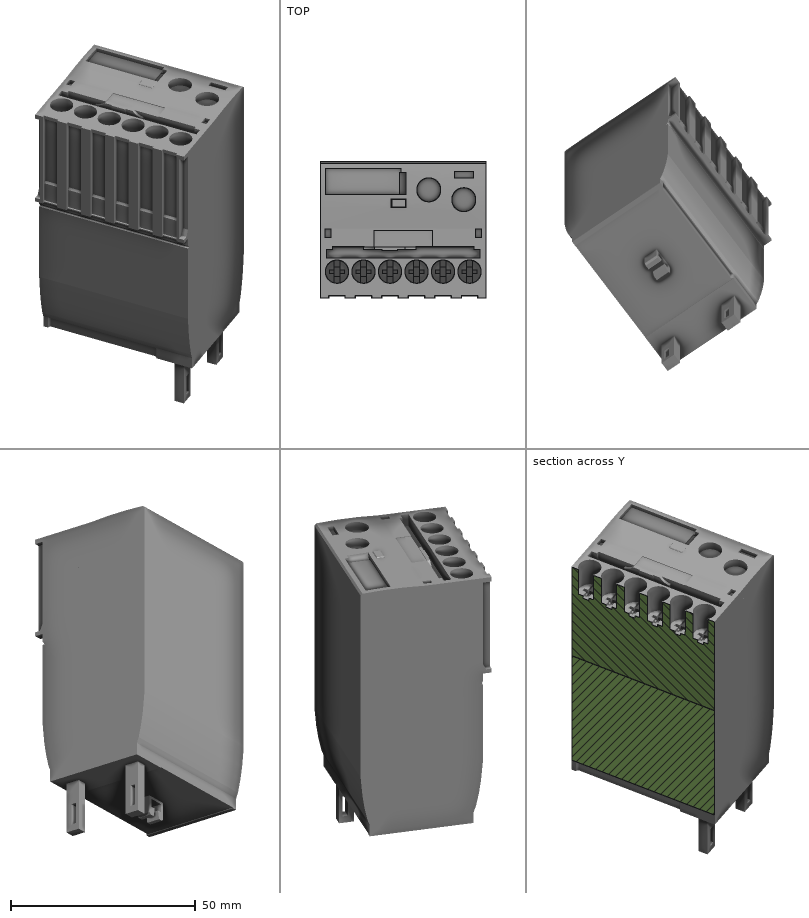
import cadquery as cq
import math

WIDTH = 45.0
DEPTH = 34.6
OVERHANG = 2.5
TOTAL_HEIGHT = 88.85
HALF = WIDTH / 2

BASE_Z = 14.6
FOOT_TOP_Z = 17.95
ARC_LOW_Z = 19.55
ARC_HIGH_Z = 30.7
TAPER_Z = 32.7
FOOT_INSET = 2.6
ARC_LOW_INSET = 1.95
ARC_MID_INSET = 0.8
ARC_HIGH_INSET = 0.2

FOOT_GAP_LEFT = -20.5
FOOT_GAP_RIGHT = 11.1
FOOT_GAP_DEPTH = 0.5
FOOT_GAP_SLOPE = 0.5
UNDERSIDE_STEP = 0.2

SEAM_FRONT_Z = 56.15
SEAM_STEP_Z = 75.9
SEAM_BACK_Z = 84.8
SEAM_LOW_Y = 15.7
SEAM_HIGH_Y = 11.55
SEAM_GROOVE_HEIGHT = 0.9
SEAM_GROOVE_DEPTH = 0.7

TOP_Z = 88.3
CROWN_RISE = 0.31
CROWN_FRONT_Y = 16.35
BACK_CHAMFER = 0.5
CROWN_BACK_Y = DEPTH - BACK_CHAMFER
OVERHANG_Z = 59.4

TERMINALS = 6
TERMINAL_PITCH = 7.2
SCREW_Y = 4.7
SCREW_HOLE_D = 6.3
SCREW_HEAD_DEPTH = 8.9
SCREW_SLOT_WIDTH = 1.7
SCREW_SLOT_DEPTH = 0.9
CROSS_LENGTH_X = 4.0
CROSS_WIDTH_X = 1.0
CROSS_LENGTH_Y = 2.6
CROSS_ARM_DEPTH = 1.4
CROSS_CORE_DEPTH = 2.1

GROOVE_WIDTH = 4.35
NOTCH_DEPTH = 0.6
GROOVE_LOW_DEPTH = 1.1
GROOVE_DEEP_DEPTH = 1.6
GROOVE_LEDGE_Z = 65.5
GROOVE_FLOOR_Z = 59.8
GROOVE_ROOF_Z = 87.25

CORNER_WIDTH = 1.5
CORNER_FLOOR_Z = 60.6
CORNER_ROOF_Z = 87.0
CORNER_SLOPE_Y = 0.9
CORNER_SLOPE_Z = 1.9

SLOT_HALF_LENGTH = 20.9
SLOT_BACK_HALF_LENGTH = 19.2
SLOT_FRONT_Y = 8.4
SLOT_MID_Y = 10.7
SLOT_BACK_Y = 11.5
SLOT_DEPTH = 3.55
TAB_CENTRE_X = -3.6
TAB_HALF_LENGTH = 7.1
TAB_TOP_HALF_LENGTH = 4.2
TAB_DROP = 1.6
TAB_SAG = 0.7
NOSE_HALF_LENGTH = 2.1
NOSE_Y = 10.4

LATCH_X = 20.4
LATCH_WIDTH = 1.5
LATCH_LENGTH = 2.4
LATCH_DEPTH = 1.3
PLATE_LEFT = -7.9
PLATE_RIGHT = 7.9
PLATE_BACK_Y = 15.9
PLATE_DEPTH = 0.2
MARK_LEFT = 13.9
MARK_RIGHT = 19.0
MARK_FRONT_Y = 30.1
MARK_BACK_Y = 31.9
MARK_DEPTH = 1.1
DIAL_D = 6.5
DIAL_DEPTH = 2.2
DIAL_CENTRES = [(6.9, 26.9), (16.4, 24.3)]

LABEL_LEFT = -21.1
LABEL_RIGHT = -0.6
LABEL_FRONT_Y = 25.7
LABEL_BACK_Y = 32.7
LABEL_DEPTH = 1.1
FINGER_RIGHT = 0.8
FINGER_BACK_Y = 31.6
FINGER_DEPTH = 1.6
FINGER_LEFT = -1.1

BUTTON_LEFT = -3.3
BUTTON_RIGHT = 0.8
BUTTON_FRONT_Y = 22.1
BUTTON_BACK_Y = 24.4
BUTTON_CHAMFER = 0.2

PIN_LEFT = 15.8
PIN_WIDTH = 2.8
PIN_DEPTH = 4.2
PIN_FRONT_YS = (5.2, 25.3)
PIN_WINDOW_DEPTH = 1.5
PIN_WINDOW_OFFSET = 1.7
PIN_WINDOW_LOW_Z = 1.95
PIN_WINDOW_HIGH_Z = 8.0

CLIP_X = -4.3
CLIP_HALF_WIDTH = 3.1
CLIP_FRONT_Y = 14.6
CLIP_BACK_Y = 18.6
CLIP_LOW_Z = 9.2
CLIP_CHAMFER = 0.5
CLIP_CAVITY_HALF = 2.1
CLIP_CAVITY_LOW_Z = 11.6
CLIP_CAVITY_HIGH_Z = 14.0
CLIP_THROAT_HALF = 0.7
CLIP_MOUTH_HALF = 1.2


def box(x0, x1, y0, y1, z0, z1):
    """Block between two opposite corners."""
    return cq.Workplane("XY").box(x1 - x0, y1 - y0, z1 - z0, centered=False).translate((x0, y0, z0))


def across_width(profile):
    """Extrude a closed YZ profile, drawn on the left side, over the full width."""
    return profile.close().extrude(WIDTH)


def left_side():
    return cq.Workplane("YZ", origin=(-HALF, 0, 0))


def terminal_xs():
    return [(i - (TERMINALS - 1) / 2) * TERMINAL_PITCH for i in range(TERMINALS)]


def housing_shell():
    arc_mid_z = (ARC_LOW_Z + ARC_HIGH_Z) / 2
    profile = (
        left_side()
        .moveTo(FOOT_INSET, BASE_Z)
        .lineTo(FOOT_INSET, FOOT_TOP_Z)
        .lineTo(ARC_LOW_INSET, ARC_LOW_Z)
        .threePointArc((ARC_MID_INSET, arc_mid_z), (ARC_HIGH_INSET, ARC_HIGH_Z))
        .lineTo(0, TAPER_Z)
        .lineTo(0, SEAM_FRONT_Z)
        .lineTo(SEAM_LOW_Y, SEAM_FRONT_Z)
        .lineTo(SEAM_LOW_Y, SEAM_STEP_Z)
        .lineTo(SEAM_HIGH_Y, SEAM_STEP_Z)
        .lineTo(SEAM_HIGH_Y, SEAM_BACK_Z)
        .lineTo(DEPTH, SEAM_BACK_Z)
        .lineTo(DEPTH, TAPER_Z)
        .lineTo(DEPTH - ARC_HIGH_INSET, ARC_HIGH_Z)
        .threePointArc((DEPTH - ARC_MID_INSET, arc_mid_z), (DEPTH - ARC_LOW_INSET, ARC_LOW_Z))
        .lineTo(DEPTH - FOOT_INSET, FOOT_TOP_Z)
        .lineTo(DEPTH - FOOT_INSET, BASE_Z)
    )
    return across_width(profile)


def foot_gap():
    """Slant-ended recess in the front foot face, and the raised underside behind it."""
    left = FOOT_GAP_LEFT - FOOT_GAP_SLOPE
    right = FOOT_GAP_RIGHT + FOOT_GAP_SLOPE
    floor_y = FOOT_INSET + FOOT_GAP_DEPTH
    recess = (
        cq.Workplane("XY", origin=(0, 0, BASE_Z))
        .polyline([
            (left, FOOT_INSET),
            (right, FOOT_INSET),
            (FOOT_GAP_RIGHT, floor_y),
            (FOOT_GAP_LEFT, floor_y),
        ])
        .close()
        .extrude(FOOT_TOP_Z - BASE_Z)
    )
    underside = box(left, right, FOOT_INSET, DEPTH - FOOT_INSET, BASE_Z, BASE_Z + UNDERSIDE_STEP)
    return recess.union(underside)


def contact_pin(front_y):
    pin = box(PIN_LEFT, PIN_LEFT + PIN_WIDTH, front_y, front_y + PIN_DEPTH, 0, FOOT_TOP_Z)
    window_y = front_y + PIN_WINDOW_OFFSET
    window = box(
        PIN_LEFT, PIN_LEFT + PIN_WIDTH,
        window_y, window_y + PIN_WINDOW_DEPTH,
        PIN_WINDOW_LOW_Z, PIN_WINDOW_HIGH_Z,
    )
    return pin.cut(window)


def snap_clip():
    """Two hooked arms with a T-shaped opening between them."""
    half_outline = [
        (CLIP_HALF_WIDTH, FOOT_TOP_Z),
        (CLIP_HALF_WIDTH, CLIP_LOW_Z + CLIP_CHAMFER),
        (CLIP_HALF_WIDTH - CLIP_CHAMFER, CLIP_LOW_Z),
        (CLIP_MOUTH_HALF, CLIP_LOW_Z),
        (CLIP_THROAT_HALF, CLIP_CAVITY_LOW_Z),
        (CLIP_CAVITY_HALF, CLIP_CAVITY_LOW_Z),
        (CLIP_CAVITY_HALF, CLIP_CAVITY_HIGH_Z),
    ]
    outline = half_outline + [(-x, z) for x, z in reversed(half_outline)]
    return (
        cq.Workplane("XZ", origin=(CLIP_X, CLIP_BACK_Y, 0))
        .polyline(outline)
        .close()
        .extrude(CLIP_BACK_Y - CLIP_FRONT_Y)
    )


def make_housing():
    housing = housing_shell().cut(foot_gap())
    for front_y in PIN_FRONT_YS:
        housing = housing.union(contact_pin(front_y))
    return housing.union(snap_clip())


def cover_shell():
    crown_mid_y = (CROWN_FRONT_Y + CROWN_BACK_Y) / 2
    profile = (
        left_side()
        .moveTo(SEAM_GROOVE_DEPTH, SEAM_FRONT_Z)
        .lineTo(0, SEAM_FRONT_Z + SEAM_GROOVE_HEIGHT)
        .lineTo(0, OVERHANG_Z)
        .lineTo(-OVERHANG, OVERHANG_Z)
        .lineTo(-OVERHANG, TOP_Z)
        .lineTo(CROWN_FRONT_Y, TOP_Z)
        .threePointArc((crown_mid_y, TOP_Z + CROWN_RISE), (CROWN_BACK_Y, TOP_Z))
        .lineTo(DEPTH, TOP_Z - BACK_CHAMFER)
        .lineTo(DEPTH, SEAM_BACK_Z)
        .lineTo(SEAM_HIGH_Y, SEAM_BACK_Z)
        .lineTo(SEAM_HIGH_Y, SEAM_STEP_Z)
        .lineTo(SEAM_LOW_Y, SEAM_STEP_Z)
        .lineTo(SEAM_LOW_Y, SEAM_FRONT_Z)
    )
    return across_width(profile)


def front_groove(x):
    """Groove with a shallow lower part, a sloped ledge and a deep upper part."""
    front = -OVERHANG
    low_y = front + GROOVE_LOW_DEPTH
    deep_y = front + GROOVE_DEEP_DEPTH
    notch_y = front + NOTCH_DEPTH
    return (
        cq.Workplane("YZ", origin=(x - GROOVE_WIDTH / 2, 0, 0))
        .polyline([
            (front, OVERHANG_Z),
            (notch_y, OVERHANG_Z),
            (notch_y, GROOVE_FLOOR_Z),
            (low_y, GROOVE_FLOOR_Z),
            (low_y, GROOVE_LEDGE_Z),
            (deep_y, GROOVE_LEDGE_Z + GROOVE_DEEP_DEPTH - GROOVE_LOW_DEPTH),
            (deep_y, GROOVE_ROOF_Z),
            (notch_y, GROOVE_ROOF_Z),
            (notch_y, TOP_Z),
            (front, TOP_Z),
        ])
        .close()
        .extrude(GROOVE_WIDTH)
    )


def corner_recess(left_x):
    return (
        cq.Workplane("YZ", origin=(left_x, 0, 0))
        .polyline([
            (-OVERHANG, CORNER_FLOOR_Z),
            (-CORNER_SLOPE_Y, CORNER_FLOOR_Z),
            (0, CORNER_FLOOR_Z + CORNER_SLOPE_Z),
            (0, CORNER_ROOF_Z),
            (-OVERHANG, CORNER_ROOF_Z),
        ])
        .close()
        .extrude(CORNER_WIDTH)
    )


def screw_hole(x):
    """Round shaft down to the screw head, with the driver slot and cross in the head."""
    head_z = TOP_Z - SCREW_HEAD_DEPTH
    shaft = cq.Workplane("XY", origin=(x, SCREW_Y, head_z)).circle(SCREW_HOLE_D / 2).extrude(SCREW_HEAD_DEPTH)
    slot = (
        cq.Workplane("XY", origin=(x, SCREW_Y, head_z))
        .rect(SCREW_SLOT_WIDTH, SCREW_HOLE_D)
        .extrude(-SCREW_SLOT_DEPTH)
        .intersect(shaft.translate((0, 0, -SCREW_SLOT_DEPTH)))
    )
    cross_x = cq.Workplane("XY", origin=(x, SCREW_Y, head_z)).rect(CROSS_LENGTH_X, CROSS_WIDTH_X)
    cross_y = cq.Workplane("XY", origin=(x, SCREW_Y, head_z)).rect(SCREW_SLOT_WIDTH, CROSS_LENGTH_Y)
    arms = cross_x.extrude(-CROSS_ARM_DEPTH)
    core = cross_y.extrude(-CROSS_CORE_DEPTH)
    return shaft.union(slot).union(arms).union(core)


def wall_tab():
    """Tab on the slot's back wall: flat top, concave curved ends and a narrow nose."""
    floor_z = TOP_Z - SLOT_DEPTH
    end_z = TOP_Z - TAB_DROP
    curve_x = (TAB_HALF_LENGTH + TAB_TOP_HALF_LENGTH) / 2
    curve_z = (TOP_Z + end_z) / 2 - TAB_SAG / 2
    tab = (
        cq.Workplane("XZ", origin=(TAB_CENTRE_X, SLOT_BACK_Y, 0))
        .moveTo(-TAB_HALF_LENGTH, floor_z)
        .lineTo(-TAB_HALF_LENGTH, end_z)
        .threePointArc((-curve_x, curve_z), (-TAB_TOP_HALF_LENGTH, TOP_Z))
        .lineTo(TAB_TOP_HALF_LENGTH, TOP_Z)
        .threePointArc((curve_x, curve_z), (TAB_HALF_LENGTH, end_z))
        .lineTo(TAB_HALF_LENGTH, floor_z)
        .close()
        .extrude(SLOT_BACK_Y - SLOT_MID_Y)
    )
    nose = box(
        TAB_CENTRE_X - NOSE_HALF_LENGTH, TAB_CENTRE_X + NOSE_HALF_LENGTH,
        NOSE_Y, SLOT_BACK_Y, floor_z, TOP_Z,
    )
    return tab.union(nose)


def long_slot():
    floor_z = TOP_Z - SLOT_DEPTH
    front = box(-SLOT_HALF_LENGTH, SLOT_HALF_LENGTH, SLOT_FRONT_Y, SLOT_MID_Y, floor_z, TOP_Z)
    back = box(-SLOT_BACK_HALF_LENGTH, SLOT_BACK_HALF_LENGTH, SLOT_MID_Y, SLOT_BACK_Y, floor_z, TOP_Z)
    return front.union(back).cut(wall_tab())


def latch_pocket(x):
    return box(
        x - LATCH_WIDTH / 2, x + LATCH_WIDTH / 2,
        CROWN_FRONT_Y - LATCH_LENGTH, CROWN_FRONT_Y,
        TOP_Z - LATCH_DEPTH, TOP_Z,
    )


def name_plate_recess():
    return box(PLATE_LEFT, PLATE_RIGHT, SLOT_BACK_Y, PLATE_BACK_Y, TOP_Z - PLATE_DEPTH, TOP_Z)


def mark_pocket():
    return box(MARK_LEFT, MARK_RIGHT, MARK_FRONT_Y, MARK_BACK_Y, TOP_Z - MARK_DEPTH, TOTAL_HEIGHT)


def dial_pocket(x, y):
    floor_z = TOP_Z - DIAL_DEPTH
    return cq.Workplane("XY", origin=(x, y, floor_z)).circle(DIAL_D / 2).extrude(TOTAL_HEIGHT - floor_z)


def label_recess():
    """Flat recess; a finger notch with a rounded right end dips below its floor."""
    recess = box(LABEL_LEFT, LABEL_RIGHT, LABEL_FRONT_Y, LABEL_BACK_Y, TOP_Z - LABEL_DEPTH, TOTAL_HEIGHT)
    floor_z = TOP_Z - FINGER_DEPTH
    run = FINGER_RIGHT - FINGER_LEFT
    bend = math.sqrt(0.5)
    notch = (
        cq.Workplane("XZ", origin=(FINGER_LEFT, FINGER_BACK_Y, 0))
        .moveTo(0, TOTAL_HEIGHT)
        .lineTo(0, floor_z)
        .threePointArc((run * bend, TOTAL_HEIGHT - (TOTAL_HEIGHT - floor_z) * bend), (run, TOTAL_HEIGHT))
        .close()
        .extrude(FINGER_BACK_Y - LABEL_FRONT_Y)
    )
    return recess.union(notch)


def button():
    block = box(BUTTON_LEFT, BUTTON_RIGHT, BUTTON_FRONT_Y, BUTTON_BACK_Y, SEAM_BACK_Z, TOTAL_HEIGHT)
    return block.faces(">Z").chamfer(BUTTON_CHAMFER)


def make_cover():
    cover = cover_shell()
    for x in terminal_xs():
        cover = cover.cut(front_groove(x)).cut(screw_hole(x))
    for left_x in (-HALF, HALF - CORNER_WIDTH):
        cover = cover.cut(corner_recess(left_x))
    for x in (-LATCH_X, LATCH_X):
        cover = cover.cut(latch_pocket(x))
    for x, y in DIAL_CENTRES:
        cover = cover.cut(dial_pocket(x, y))
    cover = cover.cut(long_slot()).cut(name_plate_recess()).cut(mark_pocket()).cut(label_recess())
    return cover.union(button())


housing = make_housing()
cover = make_cover()

result = cq.Compound.makeCompound([housing.val(), cover.val()])